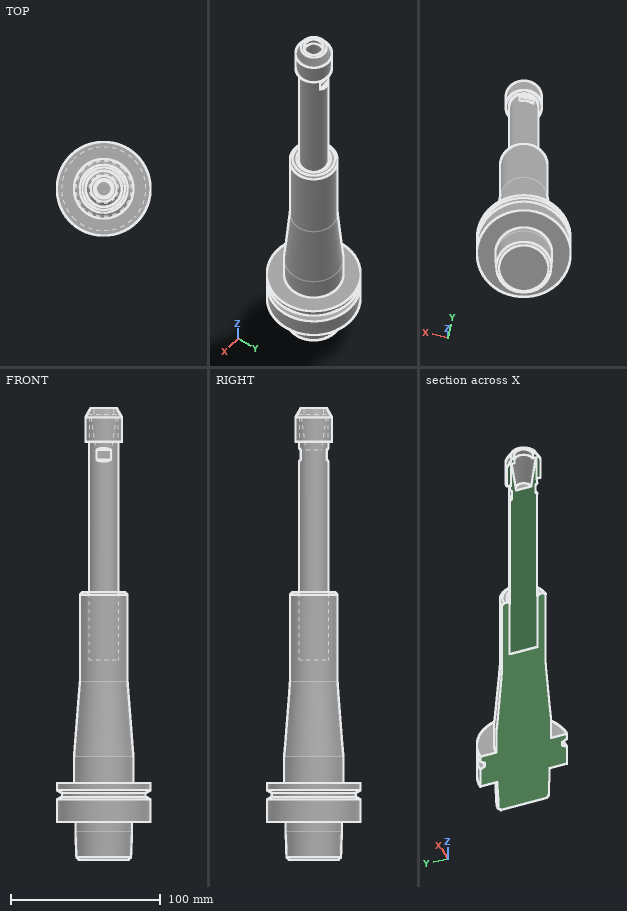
import cadquery as cq
import math

SHANK_DIAMETER = 38.0
SHANK_TAPER = 0.08
SHANK_CHAMFER = 1.8
FLANGE_BOTTOM_Z = 25.0
SHANK_TAPER_TOP_Z = 19.0

FLANGE_DIAMETER = 63.0
FLANGE_TOP_Z = 51.5
GROOVE_DIAMETER = 56.2
GROOVE_BOTTOM_Z = 40.2
GROOVE_TOP_Z = 46.5
GROOVE_WALL_ANGLE = 30

BODY_DIAMETER = 40.0
BODY_CONE_BOTTOM_Z = 69.0
NECK_DIAMETER = 32.0
NECK_BOTTOM_Z = 119.0
HOLDER_TOP_Z = 179.0
HOLDER_CHAMFER = 1.8
MOUTH_DIAMETER = 23.0

STEM_DIAMETER = 20.0
STEM_INSERTION = 45.3
THREAD_DIAMETER = 19.0
STEM_TOP_CLEARANCE = 4.5
SEAT_ANGLE = 8
SEAT_MOUTH_DIAMETER = 17.2
SEAT_END_DIAMETER = 10.5

FLATS_WIDTH = 17.5
FLATS_BOTTOM_Z = 266.2
FLATS_TOP_Z = 275.3

NUT_TOP_Z = 302.2
NUT_BOTTOM_Z = 279.2
NUT_DIAMETER = 24.5
NUT_TOP_CHAMFER_HEIGHT = 1.0
NUT_BOTTOM_CHAMFER = 0.3
NUT_NOSE_TOP_DIAMETER = 17.2
NUT_NOSE_BASE_DIAMETER = 24.0
NUT_NOSE_BASE_Z = 296.5
NUT_OPENING_DIAMETER = 13.0

STEM_BOTTOM_Z = HOLDER_TOP_Z - STEM_INSERTION
STEM_TOP_Z = NUT_TOP_Z - STEM_TOP_CLEARANCE


def turned(profile):
    """Revolve (diameter, z) points about the Z axis."""
    points = [(diameter / 2, z) for diameter, z in profile]
    return cq.Workplane("XZ").polyline(points).close().revolve(360, (0, 0), (0, 1))


def make_holder():
    shank_end_diameter = SHANK_DIAMETER - SHANK_TAPER * (SHANK_TAPER_TOP_Z - SHANK_CHAMFER)
    groove_depth = (FLANGE_DIAMETER - GROOVE_DIAMETER) / 2
    groove_wall_height = groove_depth * math.tan(math.radians(GROOVE_WALL_ANGLE))
    mouth_depth = (MOUTH_DIAMETER - STEM_DIAMETER) / 2
    return turned([
        (0, 0),
        (shank_end_diameter - 2 * SHANK_CHAMFER, 0),
        (shank_end_diameter, SHANK_CHAMFER),
        (SHANK_DIAMETER, SHANK_TAPER_TOP_Z),
        (SHANK_DIAMETER, FLANGE_BOTTOM_Z),
        (FLANGE_DIAMETER, FLANGE_BOTTOM_Z),
        (FLANGE_DIAMETER, GROOVE_BOTTOM_Z),
        (GROOVE_DIAMETER, GROOVE_BOTTOM_Z + groove_wall_height),
        (GROOVE_DIAMETER, GROOVE_TOP_Z - groove_wall_height),
        (FLANGE_DIAMETER, GROOVE_TOP_Z),
        (FLANGE_DIAMETER, FLANGE_TOP_Z),
        (BODY_DIAMETER, FLANGE_TOP_Z),
        (BODY_DIAMETER, BODY_CONE_BOTTOM_Z),
        (NECK_DIAMETER, NECK_BOTTOM_Z),
        (NECK_DIAMETER, HOLDER_TOP_Z - HOLDER_CHAMFER),
        (NECK_DIAMETER - 2 * HOLDER_CHAMFER, HOLDER_TOP_Z),
        (MOUTH_DIAMETER, HOLDER_TOP_Z),
        (STEM_DIAMETER, HOLDER_TOP_Z - mouth_depth),
        (STEM_DIAMETER, STEM_BOTTOM_Z),
        (0, STEM_BOTTOM_Z),
    ])


def make_wrench_flat():
    """Cutter for the flat on the -Y side, with ends sloping out at 45 degrees."""
    flat_y = -FLATS_WIDTH / 2
    outer_y = -STEM_DIAMETER / 2
    end_run = flat_y - outer_y
    return (
        cq.Workplane("YZ")
        .polyline([
            (outer_y, FLATS_BOTTOM_Z),
            (flat_y, FLATS_BOTTOM_Z + end_run),
            (flat_y, FLATS_TOP_Z - end_run),
            (outer_y, FLATS_TOP_Z),
        ])
        .close()
        .extrude(STEM_DIAMETER / 2, both=True)
    )


def make_extension():
    seat_depth = (SEAT_MOUTH_DIAMETER - SEAT_END_DIAMETER) / 2 / math.tan(math.radians(SEAT_ANGLE))
    seat_floor_z = STEM_TOP_Z - seat_depth
    stem = turned([
        (0, STEM_BOTTOM_Z),
        (STEM_DIAMETER, STEM_BOTTOM_Z),
        (STEM_DIAMETER, NUT_BOTTOM_Z),
        (THREAD_DIAMETER, NUT_BOTTOM_Z),
        (THREAD_DIAMETER, STEM_TOP_Z),
        (SEAT_MOUTH_DIAMETER, STEM_TOP_Z),
        (SEAT_END_DIAMETER, seat_floor_z),
        (0, seat_floor_z),
    ])
    flat = make_wrench_flat()
    return stem.cut(flat).cut(flat.mirror("XZ"))


def make_nut():
    return turned([
        (NUT_OPENING_DIAMETER, NUT_TOP_Z),
        (NUT_NOSE_TOP_DIAMETER, NUT_TOP_Z),
        (NUT_NOSE_BASE_DIAMETER, NUT_NOSE_BASE_Z),
        (NUT_DIAMETER, NUT_NOSE_BASE_Z - NUT_TOP_CHAMFER_HEIGHT),
        (NUT_DIAMETER, NUT_BOTTOM_Z + NUT_BOTTOM_CHAMFER),
        (NUT_DIAMETER - 2 * NUT_BOTTOM_CHAMFER, NUT_BOTTOM_Z),
        (THREAD_DIAMETER, NUT_BOTTOM_Z),
        (THREAD_DIAMETER, STEM_TOP_Z),
        (NUT_OPENING_DIAMETER, STEM_TOP_Z),
    ])


holder = make_holder()
extension = make_extension()
nut = make_nut()

result = cq.Compound.makeCompound([holder.val(), extension.val(), nut.val()])